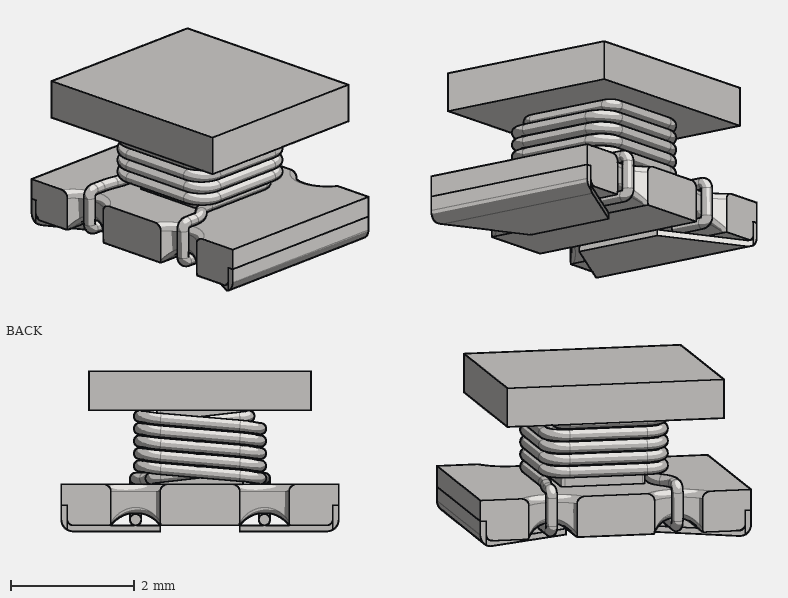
import cadquery as cq
import math


length = 4.5
width = 3.2
height = 2.6
base_top = 0.77
flange_length = 3.6
flange_bottom = 1.96
post_size = 1.395
post_corner_radius = 0.055

terminal_thickness = 0.1
terminal_height = 0.428
terminal_corner_radius = 0.2
terminal_inner_end = 0.645
pad_end_recess = 0.8

notch_radius = 0.5
notch_width = 0.8
notch_top_fillet = 0.112
notch_bottom_fillet = 0.095
notch_x = terminal_inner_end + notch_width / 2
selection_margin = 0.005
notch_axis_offset = math.sqrt(notch_radius**2 - (notch_width / 2) ** 2)

wire_diameter = 0.185
wire_radius = wire_diameter / 2
level_count = 6
layer_gap = 0.005
bend_radius = 0.105
sway_end_distance = 1.238
lead_bend_distance = 1.4
tail_length = 0.54
bottom_level = base_top + wire_radius
top_level = flange_bottom - wire_radius
pitch = (top_level - bottom_level) / (level_count - 1)
middle_rise_share = 1 / 3
corner = post_size / 2 - post_corner_radius
inner_offset = post_size / 2 + wire_radius + layer_gap / 2
outer_offset = inner_offset + wire_diameter + layer_gap


def centred_box(size_x, size_y, bottom, top):
    return cq.Workplane("XY").workplane(offset=bottom).rect(size_x, size_y).extrude(top - bottom)


def rounded_block():
    """Block filled by the base and terminals together, rounded along its lower end edges."""
    return (
        centred_box(length, width, 0, base_top)
        .edges("|Y and <Z")
        .fillet(terminal_corner_radius)
    )


def base_above_terminals():
    """The part of the rounded block that lies inside the terminals."""
    inner_length = length - 2 * terminal_thickness
    lower = (
        centred_box(inner_length, width, terminal_thickness, terminal_height)
        .edges("|Y and <Z")
        .fillet(terminal_corner_radius - terminal_thickness)
    )
    return centred_box(length, width, terminal_height, base_top).union(lower)


def cut_notches(base):
    """Cut a round notch at each end of both grooves and round its upper rim."""
    axis_y = width / 2 + notch_axis_offset
    axes = [(x, y) for x in (-notch_x, notch_x) for y in (-axis_y, axis_y)]
    base = base.cut(cq.Workplane("XY").pushPoints(axes).circle(notch_radius).extrude(base_top))
    return base.faces(">Z").edges("%CIRCLE").fillet(notch_top_fillet)


def cut_grooves(base):
    """Cut the arched grooves along Y and round their mouths in the notch walls."""
    axis_z = terminal_thickness - notch_axis_offset
    for x in (-notch_x, notch_x):
        groove = (
            cq.Workplane("XZ")
            .center(x, axis_z)
            .circle(notch_radius)
            .extrude(width, both=True)
        )
        base = base.cut(groove)
    mouth_reach = notch_width / 2 + selection_margin
    mouth_depth = notch_radius - notch_axis_offset + selection_margin
    for x in (-notch_x, notch_x):
        for side in (-1, 1):
            y = side * width / 2
            selector = cq.selectors.BoxSelector(
                (x - mouth_reach, y - mouth_depth, terminal_thickness),
                (x + mouth_reach, y + mouth_depth, terminal_thickness + mouth_depth),
            )
            mouth = base.edges(selector).edges("not(#Z or |Z)")
            base = mouth.fillet(notch_bottom_fillet)
    return base


def make_core():
    base = cut_grooves(cut_notches(base_above_terminals()))
    post = centred_box(post_size, post_size, base_top, flange_bottom).edges("|Z").fillet(post_corner_radius)
    flange = centred_box(flange_length, width, flange_bottom, height)
    return base.union(post).union(flange)


def make_terminal(side):
    """Side strip over the full width and a bottom pad that tapers in from it; side is -1 or 1."""
    strip_inner = length / 2 - terminal_thickness
    pad_end_half_width = width / 2 - pad_end_recess
    half_outline = [
        (length / 2, width / 2),
        (strip_inner, width / 2),
        (terminal_inner_end, pad_end_half_width),
    ]
    mirrored = [(x, -y) for x, y in reversed(half_outline)]
    outline = [(side * x, y) for x, y in half_outline + mirrored]
    blank = cq.Workplane("XY").polyline(outline).close().extrude(terminal_height)
    return blank.intersect(rounded_block()).cut(base_above_terminals())


def line(start, end):
    return cq.Edge.makeLine(cq.Vector(*start), cq.Vector(*end))


def flat_corner(start, centre, end):
    """Level quarter turn about a vertical axis through centre (x, y)."""
    radius = math.hypot(start[0] - centre[0], start[1] - centre[1])
    out_x = (start[0] + end[0]) / 2 - centre[0]
    out_y = (start[1] + end[1]) / 2 - centre[1]
    scale = radius / math.hypot(out_x, out_y)
    middle = (centre[0] + out_x * scale, centre[1] + out_y * scale, start[2])
    return cq.Edge.makeThreePointArc(cq.Vector(*start), cq.Vector(*middle), cq.Vector(*end))


def back_pass(offset, start_level, rise):
    """From the -X side around the back of the post to the +X side, changing height by rise."""
    radius = offset - corner
    arc = radius * math.pi / 2
    slope = rise / (2 * arc + 2 * corner)
    corner_rise = slope * arc
    diagonal = corner + radius * math.sqrt(0.5)
    end_level = start_level + rise
    start = cq.Vector(-offset, corner, start_level)
    near_end = cq.Vector(-corner, offset, start_level + corner_rise)
    far_start = cq.Vector(corner, offset, end_level - corner_rise)
    end = cq.Vector(offset, corner, end_level)
    near_middle = cq.Vector(-diagonal, diagonal, start_level + corner_rise * middle_rise_share)
    far_middle = cq.Vector(diagonal, diagonal, end_level - corner_rise * middle_rise_share)
    along = cq.Vector(1, 0, slope)
    return [
        cq.Edge.makeSpline([start, near_middle, near_end], [cq.Vector(0, 1, 0), along]),
        cq.Edge.makeLine(near_end, far_start),
        cq.Edge.makeSpline([far_start, far_middle, end], [along, cq.Vector(0, -1, 0)]),
    ]


def front_pass(start_offset, end_offset, level):
    """Down the +X side, across the front and up the -X side, all at one level.

    The front run lies at start_offset; the last corner brings the wire to end_offset on the -X side.
    """
    right_top = (start_offset, corner, level)
    right_bottom = (start_offset, -corner, level)
    front_right = (corner, -start_offset, level)
    front_left = (-corner, -start_offset, level)
    last_centre_y = end_offset - corner - start_offset
    left_bottom = (-end_offset, last_centre_y, level)
    left_top = (-end_offset, corner, level)
    return [
        line(right_top, right_bottom),
        flat_corner(right_bottom, (corner, -corner), front_right),
        line(front_right, front_left),
        flat_corner(front_left, (-corner, last_centre_y), left_bottom),
        line(left_bottom, left_top),
    ]


def lead(x_start, x_end):
    """From the bottom level through a notch and under the base: S-bend, drop and tail."""
    down_y = -(lead_bend_distance + bend_radius)
    tail_level = terminal_thickness + wire_radius
    cut_in = bend_radius * math.sqrt(0.5)
    arc_y = -lead_bend_distance - cut_in
    side_top = cq.Vector(x_start, corner, bottom_level)
    sway_start = cq.Vector(x_start, -corner, bottom_level)
    sway_middle = cq.Vector((x_start + x_end) / 2, -(corner + sway_end_distance) / 2, bottom_level)
    sway_end = cq.Vector(x_end, -sway_end_distance, bottom_level)
    upper_bend_start = cq.Vector(x_end, -lead_bend_distance, bottom_level)
    upper_bend_middle = cq.Vector(x_end, arc_y, bottom_level - bend_radius + cut_in)
    drop_top = cq.Vector(x_end, down_y, bottom_level - bend_radius)
    drop_bottom = cq.Vector(x_end, down_y, tail_level + bend_radius)
    lower_bend_middle = cq.Vector(x_end, arc_y, tail_level + bend_radius - cut_in)
    tail_start = cq.Vector(x_end, -lead_bend_distance, tail_level)
    tail_end = cq.Vector(x_end, tail_length - lead_bend_distance, tail_level)
    first_sway = cq.Edge.makeTangentArc(sway_start, cq.Vector(0, -1, 0), sway_middle)
    return [
        cq.Edge.makeLine(side_top, sway_start),
        first_sway,
        cq.Edge.makeTangentArc(sway_middle, first_sway.tangentAt(1), sway_end),
        cq.Edge.makeLine(sway_end, upper_bend_start),
        cq.Edge.makeThreePointArc(upper_bend_start, upper_bend_middle, drop_top),
        cq.Edge.makeLine(drop_top, drop_bottom),
        cq.Edge.makeThreePointArc(drop_bottom, lower_bend_middle, tail_start),
        cq.Edge.makeLine(tail_start, tail_end),
    ]


def make_coil():
    """The outer layer climbs from the left lead; the inner layer descends to the right lead."""
    levels = [bottom_level + i * pitch for i in range(level_count)]
    path = lead(-outer_offset, -notch_x)
    for lower, upper in zip(levels, levels[1:]):
        path += back_pass(outer_offset, lower, pitch)
        end_offset = inner_offset if upper == levels[-1] else outer_offset
        path += front_pass(outer_offset, end_offset, upper)
    for upper, lower in zip(levels[:1:-1], levels[-2:0:-1]):
        path += back_pass(inner_offset, upper, -pitch)
        path += front_pass(inner_offset, inner_offset, lower)
    path += back_pass(inner_offset, levels[1], -pitch)
    path += lead(inner_offset, notch_x)
    tail_end_y = tail_length - lead_bend_distance
    section = cq.Workplane(
        cq.Plane(
            origin=(-notch_x, tail_end_y, terminal_thickness + wire_radius),
            xDir=(1, 0, 0),
            normal=(0, -1, 0),
        )
    ).circle(wire_radius)
    return section.sweep(cq.Workplane(cq.Wire.assembleEdges(path)))


core = make_core()
terminals = [make_terminal(side) for side in (-1, 1)]
coil = make_coil()
result = cq.Compound.makeCompound([core.val(), *[t.val() for t in terminals], coil.val()])